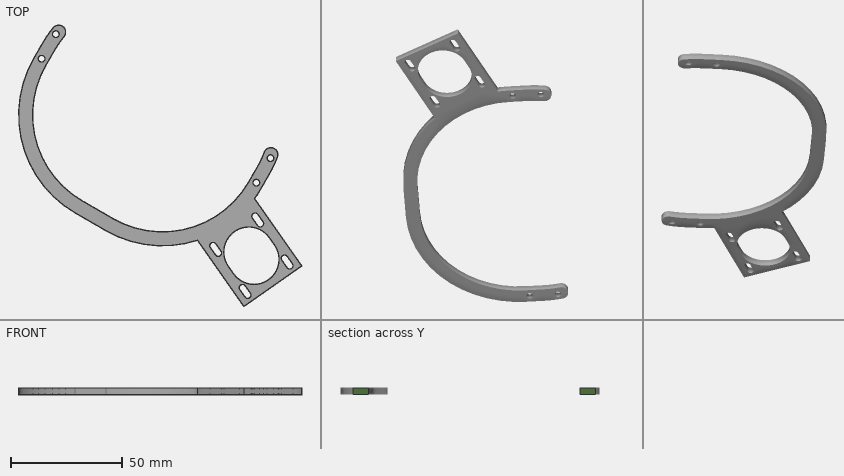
import cadquery as cq
import math

THICKNESS = 3.175

BAND_WIDTH = 6.35
CORNER_RADIUS = 47.625
CORNER_HALF_X = 7.9375
CORNER_HALF_Y = 3.96875
TIP_RISE = 7.8
BAND_TILT = -30.0

ARM_HOLE_DIAMETER = 2.9
ARM_HOLE_PITCH = 12.7

PLATE_TILT = -55.0
PLATE_WIDTH = 31.75
PLATE_CENTRE_ALONG = 76.93
PLATE_CENTRE_ACROSS = 0.75
PLATE_END = 16.74
PLATE_ROOT = 22.0
BORE_DIAMETER = 22.35
SLOT_DIAMETER = 2.9
SLOT_PITCH = 23.0
ADJUSTMENT = 4.0

ARM_X = CORNER_HALF_X + CORNER_RADIUS
FOOT_Y = -CORNER_HALF_Y - CORNER_RADIUS


def on_corner(side, level, angle):
    """Centreline point of a corner arc; angle is above the outward horizontal."""
    x = CORNER_HALF_X + CORNER_RADIUS * math.cos(angle)
    y = level * CORNER_HALF_Y + CORNER_RADIUS * math.sin(angle)
    return (side * x, y)


def make_band():
    """Constant-width band with round tips, before tilting."""
    tip_angle = math.asin(TIP_RISE / CORNER_RADIUS)
    quarter_middle = -math.pi / 4
    centreline = (
        cq.Workplane("XY")
        .moveTo(*on_corner(-1, 1, tip_angle))
        .threePointArc(on_corner(-1, 1, tip_angle / 2), (-ARM_X, CORNER_HALF_Y))
        .lineTo(-ARM_X, -CORNER_HALF_Y)
        .threePointArc(on_corner(-1, -1, quarter_middle), (-CORNER_HALF_X, FOOT_Y))
        .lineTo(CORNER_HALF_X, FOOT_Y)
        .threePointArc(on_corner(1, -1, quarter_middle), (ARM_X, -CORNER_HALF_Y))
        .lineTo(ARM_X, CORNER_HALF_Y)
        .threePointArc(on_corner(1, 1, tip_angle / 2), on_corner(1, 1, tip_angle))
        .wire()
    )
    return centreline.offset2D(BAND_WIDTH / 2).extrude(THICKNESS)


def make_arm_holes():
    """Two holes in each arm, spaced evenly about the upper corner centres."""
    centres = [
        (side * ARM_X, CORNER_HALF_Y + end * ARM_HOLE_PITCH / 2)
        for side in (-1, 1)
        for end in (-1, 1)
    ]
    return cq.Workplane("XY").pushPoints(centres).circle(ARM_HOLE_DIAMETER / 2).extrude(THICKNESS)


def place_on_plate(shape):
    """Move a shape from motor-axis coordinates (X along the plate) to its place."""
    moved = shape.translate((PLATE_CENTRE_ALONG, PLATE_CENTRE_ACROSS, 0))
    return moved.rotate((0, 0, 0), (0, 0, 1), PLATE_TILT)


def make_plate():
    """Rectangular plate whose inner end is buried in the band."""
    length = PLATE_ROOT + PLATE_END
    blank = cq.Workplane("XY").box(length, PLATE_WIDTH, THICKNESS, centered=(False, True, False))
    return place_on_plate(blank.translate((-PLATE_ROOT, 0, 0)))


def make_plate_openings():
    """Elongated motor bore and four mounting slots, all along the plate."""
    bore = (
        cq.Workplane("XY")
        .slot2D(BORE_DIAMETER + ADJUSTMENT, BORE_DIAMETER)
        .extrude(THICKNESS)
    )
    slots = (
        cq.Workplane("XY")
        .rect(SLOT_PITCH, SLOT_PITCH, forConstruction=True)
        .vertices()
        .slot2D(SLOT_DIAMETER + ADJUSTMENT, SLOT_DIAMETER)
        .extrude(THICKNESS)
    )
    return place_on_plate(bore.union(slots))


def tilt_band(shape):
    """Turn a shape from the band's own axes to its final orientation."""
    return shape.rotate((0, 0, 0), (0, 0, 1), BAND_TILT)


result = (
    tilt_band(make_band())
    .union(make_plate())
    .cut(tilt_band(make_arm_holes()))
    .cut(make_plate_openings())
)